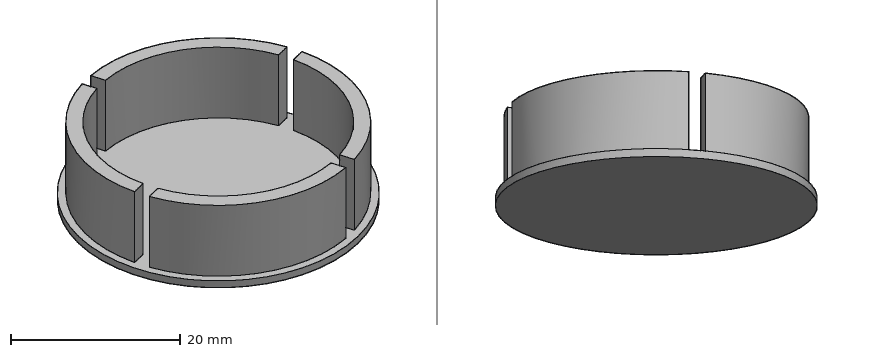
import cadquery as cq

base_diameter = 38.0
base_thickness = 1.0

total_height = 11.0
ring_outer_diameter = 36.0
ring_wall = 2.0
slot_width = 2.0

ring_inner_diameter = ring_outer_diameter - 2 * ring_wall
ring_height = total_height - base_thickness


def make_base():
    return cq.Workplane("XY").circle(base_diameter / 2).extrude(base_thickness)


def make_ring():
    """Ring split into four equal segments by slots along X and Y."""
    top_of_base = cq.Workplane("XY").workplane(offset=base_thickness)
    ring = (
        top_of_base.circle(ring_outer_diameter / 2)
        .circle(ring_inner_diameter / 2)
        .extrude(ring_height)
    )
    slot_along_x = top_of_base.rect(base_diameter, slot_width).extrude(ring_height)
    slot_along_y = top_of_base.rect(slot_width, base_diameter).extrude(ring_height)
    return ring.cut(slot_along_x).cut(slot_along_y)


result = make_base().union(make_ring())